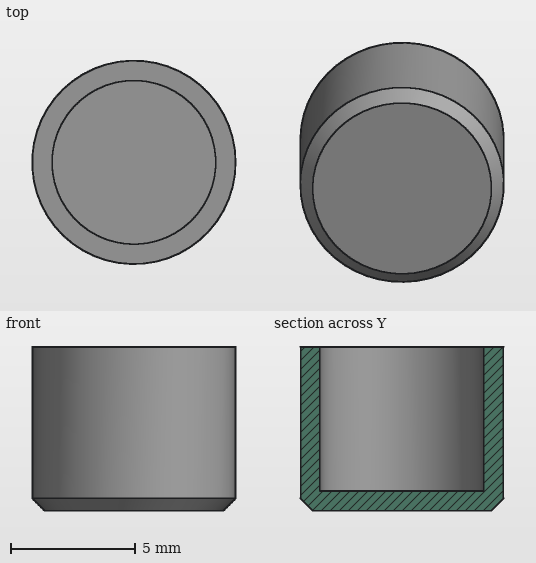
import cadquery as cq

outer_diameter = 8.2
height = 6.6
wall = 0.8
floor_thickness = wall
bottom_chamfer = 0.5

bore_diameter = outer_diameter - 2 * wall
bore_depth = height - floor_thickness

body = cq.Workplane("XY").circle(outer_diameter / 2).extrude(height)
body = body.faces("<Z").edges().chamfer(bottom_chamfer)

result = body.faces(">Z").workplane().hole(bore_diameter, bore_depth)